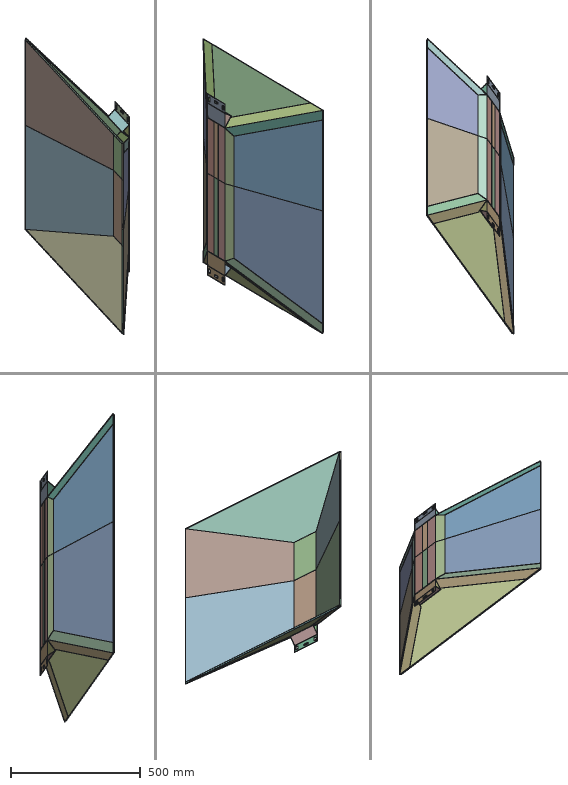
import cadquery as cq
import math

overall_depth = 158.0
overall_height = 1001.0
floor_width = 100.0
left_run = 398.0
right_run = 200.0
end_run = 200.0
seam_height = 49.0
board = 6.0
sheet = 1.0
leg_width = 39.0
bracket_top = 405.0
foot_length = 53.0
slot_width = 9.0
slot_length = 20.0
middle_slot_drop = 16.0
side_slot_drop = 21.0
side_slot_inset = 11.0
fold = 4.0
reach = 2001.0

depth = overall_depth - board - sheet
back_face = depth + board
opening_height = overall_height - 2 * (board + sheet) * depth / math.hypot(end_run, depth)
floor_left = -floor_width / 2
floor_right = floor_width / 2
floor_top = opening_height / 2 - end_run


def corner_growth(run, offset):
    """Outward shift of a floor edge when the floor and its wall both move out by offset."""
    return offset * (math.hypot(run, depth) - run) / depth


def tapered_block(front_y, front, back_y, back):
    """Solid between two rectangles (left, right, half height) in planes of constant Y."""
    def outline(y, sides):
        left, right, half_height = sides
        corners = [(left, -half_height), (right, -half_height), (right, half_height), (left, half_height)]
        return cq.Wire.makePolygon([cq.Vector(x, y, z) for x, z in corners], close=True)
    loft = cq.Solid.makeLoft([outline(front_y, front), outline(back_y, back)], True)
    return cq.Workplane(loft)


def floor_edges(offset):
    """Floor rectangle of the dish surface moved outward by offset."""
    return (
        floor_left - corner_growth(left_run, offset),
        floor_right + corner_growth(right_run, offset),
        floor_top + corner_growth(end_run, offset),
    )


def dish_core(offset):
    """Solid filling the dish up to its inside surface moved outward by offset."""
    floor_y = depth + offset
    left, right, top = floor_edges(offset)
    front = (
        left - floor_y * left_run / depth,
        right + floor_y * right_run / depth,
        top + floor_y * end_run / depth,
    )
    return tapered_block(0, front, floor_y, (left, right, top))


def rim_limit():
    """Solid whose sides cut the walls off square at the rim."""
    front = (floor_left - left_run, floor_right + right_run, opening_height / 2)
    back = (
        front[0] - overall_depth * depth / left_run,
        front[1] + overall_depth * depth / right_run,
        front[2] + overall_depth * depth / end_run,
    )
    return tapered_block(0, front, overall_depth, back)


def dish_layer(inner_offset, outer_offset):
    """Skin of the dish between two distances outside its inside surface."""
    return dish_core(outer_offset).intersect(rim_limit()).cut(dish_core(inner_offset))


def make_dish_half(side):
    """Part of the dish above (side 1) or below (side -1) the seam."""
    half_space = cq.Workplane("XY").box(reach, reach, reach).translate((0, 0, seam_height + side * reach / 2))
    return dish_layer(0, board).intersect(half_space)


def leg_region(corner, edge, inward, outline):
    """Block over one panel; outline is in (along edge, inward from edge) from the corner."""
    plane = cq.Plane(origin=corner, xDir=edge, normal=edge.cross(inward))
    return cq.Workplane(plane).polyline(outline).close().extrude(2 * sheet, both=True)


def wall_run(side):
    """Sideways reach of the left (side -1) or right (side 1) wall."""
    return left_run if side < 0 else right_run


def floor_corner(side):
    """Upper outside corner of the floor on the left (side -1) or right (side 1)."""
    left, right, top = floor_edges(board)
    return cq.Vector(left if side < 0 else right, back_face, top)


def hip_leg(side, floor_edge, end_direction):
    """Leg of a hip angle on the panel that holds floor_edge; its floor end runs along end_direction."""
    hip = cq.Vector(side * wall_run(side), -depth, end_run).normalized()
    inward = (floor_edge - hip * floor_edge.dot(hip)).normalized()
    end_shift = end_direction.dot(hip) / end_direction.dot(inward)
    outline = [
        (-fold * end_shift, -fold),
        (reach, -fold),
        (reach, leg_width),
        (leg_width * end_shift, leg_width),
    ]
    return leg_region(floor_corner(side), hip, inward, outline)


def make_hip_angle(side):
    """Angle that covers the upper hip on one side, mitred on the side wall."""
    hip = cq.Vector(side * wall_run(side), -depth, end_run).normalized()
    down = cq.Vector(0, 0, -1)
    across = cq.Vector(-side, 0, 0)
    wall_leg = hip_leg(side, down, hip + down)
    end_leg = hip_leg(side, across, cq.Vector(0, -depth, end_run))
    beside_bracket = cq.Workplane("XY").box(reach, reach, reach).translate(
        (floor_corner(side).x + side * reach / 2, 0, 0)
    )
    return dish_layer(board, board + sheet).intersect(wall_leg.union(end_leg)).intersect(beside_bracket)


def make_floor_angle(side, hip_angles):
    """Angle along one upright edge of the floor, fitted between the hip angles."""
    corner = floor_corner(side)
    down = cq.Vector(0, 0, -1)
    wall_slope = cq.Vector(side * wall_run(side), -depth, 0).normalized()
    outline = [(0, -fold), (2 * corner.z, -fold), (2 * corner.z, leg_width), (0, leg_width)]
    legs = leg_region(corner, down, wall_slope, outline).union(
        leg_region(corner, down, cq.Vector(-side, 0, 0), outline)
    )
    angle = dish_layer(board, board + sheet).intersect(legs)
    for hip_angle in hip_angles:
        angle = angle.cut(hip_angle)
    return angle


def make_bracket():
    """Upper bracket: upright plate, foot on the sloping wall and a brace between them."""
    left, right, corner_z = floor_edges(board)
    slant = math.hypot(end_run, depth)

    def on_wall(along, away):
        """Point (Y, Z) at a distance up the wall from its floor corner and away from its outside face."""
        return (
            back_face + (away * end_run - along * depth) / slant,
            corner_z + (away * depth + along * end_run) / slant,
        )

    def strip(points):
        return cq.Workplane("YZ", origin=(left, 0, 0)).polyline(points).close().extrude(right - left)

    plate = strip([
        (back_face, corner_z),
        (overall_depth, corner_z),
        (overall_depth, bracket_top),
        (back_face, bracket_top),
    ])
    foot = strip([
        (back_face, corner_z),
        on_wall(foot_length, 0),
        on_wall(foot_length, sheet),
        (back_face, corner_z + sheet * slant / end_run),
    ])
    inner_edge = foot_length - sheet
    brace = strip([
        on_wall(inner_edge, 0),
        on_wall(foot_length, 0),
        on_wall(foot_length, foot_length * depth / end_run),
        on_wall(inner_edge, inner_edge * depth / end_run),
    ])
    bracket = plate.union(foot).union(brace)

    middle = (left + right) / 2
    side_reach = (right - left) / 2 - side_slot_inset
    for x, drop, angle in (
        (middle, middle_slot_drop, 0),
        (middle - side_reach, side_slot_drop, 90),
        (middle + side_reach, side_slot_drop, 90),
    ):
        slot = (
            cq.Workplane("XZ", origin=(x, overall_depth, bracket_top - drop))
            .slot2D(slot_length, slot_width, angle)
            .extrude(sheet)
        )
        bracket = bracket.cut(slot)
    return bracket


dish_halves = [make_dish_half(side) for side in (1, -1)]
upper_hip_angles = [make_hip_angle(side) for side in (-1, 1)]
hip_angles = upper_hip_angles + [angle.mirror("XY") for angle in upper_hip_angles]
floor_angles = [make_floor_angle(side, hip_angles) for side in (-1, 1)]
upper_bracket = make_bracket()
brackets = [upper_bracket, upper_bracket.mirror("XY")]

bodies = dish_halves + hip_angles + floor_angles + brackets
result = cq.Compound.makeCompound([body.solids().val() for body in bodies])